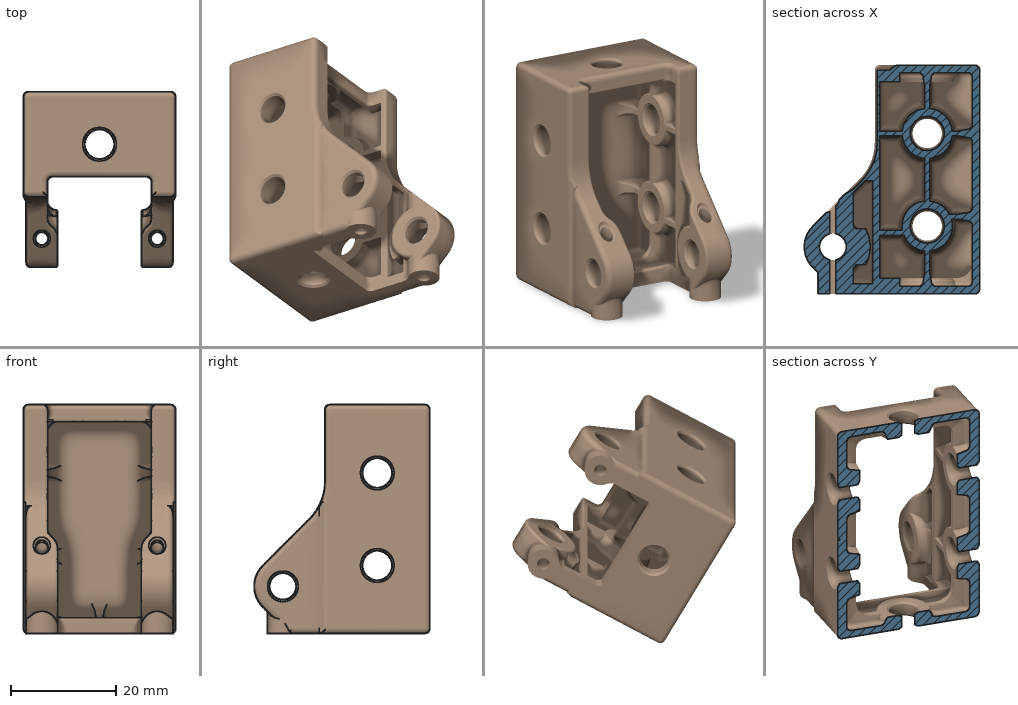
import cadquery as cq
import math


HEIGHT = 43.6
HALF_WIDTH = 29.0 / 2
BOX_DEPTH = 20.0
OUTER_ROUND = 1.0
INNER_ROUND = 0.5

SCREW_X = 11.0
SCREW_BOSS_RADIUS = 3.0
LUG_IN = SCREW_X - SCREW_BOSS_RADIUS
LUG_OUT = SCREW_X + SCREW_BOSS_RADIUS
LUG_DEPTH = 28.0
LUG_HEIGHT = 9.0
LUG_RADIUS = 5.5
BLEND_RADIUS = 10.0
STEP_START = 19.65
STEP_END = 21.1
PLATE_BACK = STEP_START - OUTER_ROUND
SCREW_BOSS_TOP = 6.55
BOSS_BLEND = 2.0
BRIDGE_ROUND = 1.65
BRIDGE_HALF_HEIGHT = 3.5

OPEN_HALF = 9.9
OPEN_BOTTOM = 3.0
OPEN_TOP = 40.35
NOTCH_DEPTH = 16.2
NOTCH_ROUND = 1.0
LIP_BACK = 15.2
LIP_ROUND = 0.4
SIDE_FLOOR = 12.5
THIN_WALL = 1.5
RIM_BACK = 19.0
FLOOR_ROUND = 0.87

LUG_POCKET_BACK = 20.45
LUG_POCKET_BOTTOM = 2.0
LUG_POCKET_TOP = 21.5
LUG_STRIP = 1.0

RIB_HALF = 1.0 / 2
RIB_BASE_HALF = 0.85
RIB_HEIGHT = SIDE_FLOOR - OPEN_HALF
RING_RADIUS = 5.0
RING_CREST = 0.2
GUSSET_RADIUS = 3.0
TOP_GUSSET_RADIUS = 2.0
BACK_RIB_HEIGHTS = (30.55, 14.75)
FRONT_RIB_HEIGHTS = (30.55, 11.7)

HOLE_DEPTH = 10.03
SIDE_HOLE_HEIGHTS = (30.55, 12.95)
MOUNT_HOLE = 5.6
PIVOT_HOLE = 5.0
SCREW_HOLE = 2.4
HOLE_CHAMFER = 0.415

BOTTOM_FLOOR = THIN_WALL
TOP_FLOOR = HEIGHT - THIN_WALL
SIN_45 = math.sqrt(0.5)
FAR = 2 * HEIGHT


def block(x, depth, z):
    """Box from three (low, high) ranges; depth counts from the back face towards -Y."""
    size = (x[1] - x[0], depth[1] - depth[0], z[1] - z[0])
    return cq.Workplane("XY").box(*size, centered=False).translate((x[0], -depth[1], z[0]))


def both_sides(solid):
    """Solid together with its mirror image about X = 0."""
    return solid.union(solid.mirror("YZ"))


SLOPE_SUM = LUG_DEPTH + LUG_HEIGHT + LUG_RADIUS / SIN_45
BLEND_DEPTH = BOX_DEPTH + BLEND_RADIUS * (1 - SIN_45)
BLEND_LOW = SLOPE_SUM - BLEND_DEPTH
BLEND_TOP = BLEND_LOW + BLEND_RADIUS * SIN_45


def side_plate(x_low, x_high):
    """Side outline of the whole part, extruded between two X positions."""
    reach = LUG_RADIUS * SIN_45
    toe = LUG_DEPTH + LUG_RADIUS / SIN_45 - LUG_HEIGHT
    half_turn = math.radians(45) / 2
    blend_mid = (
        -BOX_DEPTH - BLEND_RADIUS * (1 - math.cos(half_turn)),
        BLEND_TOP - BLEND_RADIUS * math.sin(half_turn),
    )
    return (
        cq.Workplane("YZ", origin=(x_low, 0, 0))
        .lineTo(0, HEIGHT)
        .lineTo(-BOX_DEPTH, HEIGHT)
        .lineTo(-BOX_DEPTH, BLEND_TOP)
        .threePointArc(blend_mid, (-BLEND_DEPTH, BLEND_LOW))
        .lineTo(-LUG_DEPTH - reach, LUG_HEIGHT + reach)
        .threePointArc((-LUG_DEPTH - LUG_RADIUS, LUG_HEIGHT), (-LUG_DEPTH - reach, LUG_HEIGHT - reach))
        .lineTo(-toe, 0)
        .close()
        .extrude(x_high - x_low)
    )


def box_body():
    """Full-width body that stops at an S-shaped step down to the lugs."""
    mid_x = (HALF_WIDTH + LUG_OUT) / 2
    mid_depth = (STEP_START + STEP_END) / 2
    rise = (HALF_WIDTH - LUG_OUT) / 8
    quarter = (STEP_END - STEP_START) / 4
    plan = (
        cq.Workplane("XY")
        .lineTo(HALF_WIDTH, 0)
        .lineTo(HALF_WIDTH, -STEP_START)
        .threePointArc((HALF_WIDTH - rise, -STEP_START - quarter), (mid_x, -mid_depth))
        .threePointArc((LUG_OUT + rise, -STEP_END + quarter), (LUG_OUT, -STEP_END))
        .lineTo(0, -STEP_END)
        .close()
        .extrude(HEIGHT)
    )
    full = side_plate(-HALF_WIDTH, HALF_WIDTH)
    full = full.faces("<X or >X or >Z or >Y").edges().fillet(OUTER_ROUND)
    inner = OPEN_HALF + INNER_ROUND
    return full.intersect(both_sides(plan)).cut(block((-inner, inner), (PLATE_BACK, FAR), (0, HEIGHT)))


def lug():
    """Right-hand wall plate that grows into the thick lug, rounded on both outlines."""
    thick = side_plate(LUG_IN, SIDE_FLOOR).intersect(pivot_boss().union(screw_boss_blend()))
    plate = side_plate(OPEN_HALF, LUG_OUT).union(thick)
    outer_edges = plate.faces(">X").edges().add(plate.faces(">Z").edges("<Y"))
    plate = outer_edges.fillet(OUTER_ROUND)
    slope_start = (OPEN_HALF, -BLEND_DEPTH - INNER_ROUND, BLEND_LOW - INNER_ROUND)
    plate = plate.edges(cq.selectors.NearestToPointSelector(slope_start)).fillet(INNER_ROUND)
    plate = plate.intersect(block((0, HALF_WIDTH), (PLATE_BACK, FAR), (0, HEIGHT)))
    foot = (
        cq.Workplane("XY", origin=(SCREW_X, -LUG_DEPTH, 0))
        .circle(SCREW_BOSS_RADIUS)
        .extrude(SCREW_BOSS_TOP)
    )
    return plate.union(foot)


def pivot_boss():
    """Ring around the pivot hole, joined to the wall behind it by a concave fillet."""
    center = (SIDE_FLOOR, -LUG_DEPTH, LUG_HEIGHT)
    boss = ring(center, (-1, 0, 0), LUG_RADIUS, SIDE_FLOOR - LUG_IN, INNER_ROUND)
    reach = LUG_RADIUS + BRIDGE_ROUND
    bridge = (
        cq.Workplane("YZ", origin=(OPEN_HALF - BRIDGE_ROUND, -LUG_DEPTH, LUG_HEIGHT))
        .circle(reach)
        .extrude(SIDE_FLOOR - OPEN_HALF + BRIDGE_ROUND)
    )
    groove = (
        cq.Workplane("XY", origin=(0, -LUG_DEPTH, LUG_HEIGHT))
        .moveTo(OPEN_HALF - BRIDGE_ROUND, reach)
        .circle(BRIDGE_ROUND)
        .revolve(360, (0, 0), (1, 0))
    )
    band = block(
        (0, SIDE_FLOOR),
        (LUG_DEPTH - reach, LUG_DEPTH),
        (LUG_HEIGHT - BRIDGE_HALF_HEIGHT, LUG_HEIGHT + BRIDGE_HALF_HEIGHT),
    )
    return boss.union(bridge.cut(groove).intersect(band))


def screw_boss_blend():
    """Upright round boss for the screw, blended into the wall behind it and solid ahead of it."""
    center_gap = BOSS_BLEND + SCREW_BOSS_RADIUS
    blend_x = OPEN_HALF - BOSS_BLEND
    angle = math.acos((SCREW_X - blend_x) / center_gap)
    blend_depth = LUG_DEPTH - center_gap * math.sin(angle)
    blend_mid = (
        blend_x + BOSS_BLEND * math.cos(angle / 2),
        -blend_depth - BOSS_BLEND * math.sin(angle / 2),
    )
    blend_end = (
        blend_x + BOSS_BLEND * math.cos(angle),
        -blend_depth - BOSS_BLEND * math.sin(angle),
    )
    boss_mid = (
        SCREW_X - SCREW_BOSS_RADIUS * math.cos(angle / 2),
        -LUG_DEPTH + SCREW_BOSS_RADIUS * math.sin(angle / 2),
    )
    return (
        cq.Workplane("XY")
        .moveTo(SIDE_FLOOR, -blend_depth)
        .lineTo(OPEN_HALF, -blend_depth)
        .threePointArc(blend_mid, blend_end)
        .threePointArc(boss_mid, (LUG_IN, -LUG_DEPTH))
        .lineTo(LUG_IN, -LUG_DEPTH - SCREW_BOSS_TOP)
        .lineTo(SIDE_FLOOR, -LUG_DEPTH - SCREW_BOSS_TOP)
        .close()
        .extrude(HEIGHT)
    )


def notch_limit():
    """Slab with the full-height gap between the side walls, rounded along the top of the gap."""
    gap = block((-OPEN_HALF, OPEN_HALF), (NOTCH_DEPTH, FAR), (0, HEIGHT))
    gap = gap.edges("|Z and >Y").fillet(NOTCH_ROUND)
    thick_gap = block((-LUG_IN, LUG_IN), (PLATE_BACK, FAR), (0, HEIGHT))
    side = 2 * HALF_WIDTH
    slab = block((-side, side), (-BOX_DEPTH, BOX_DEPTH), (0, HEIGHT)).cut(gap)
    slab = slab.faces(">Z").edges("not (<X or >X or <Y or >Y)").fillet(OUTER_ROUND)
    return slab.union(block((-side, side), (BOX_DEPTH, FAR), (0, BLEND_TOP)).cut(thick_gap))


def rib_section(plane, height):
    """Drafted rib section with a fillet foot; local y points away from the floor."""
    foot = RIB_BASE_HALF + FLOOR_ROUND
    bend = FLOOR_ROUND * (1 - SIN_45)
    shoulder = max(height, RIB_HEIGHT + FLOOR_ROUND)
    return (
        cq.Workplane(plane)
        .moveTo(-foot, 0)
        .lineTo(foot, 0)
        .threePointArc((RIB_BASE_HALF + bend, bend), (RIB_BASE_HALF, FLOOR_ROUND))
        .lineTo(RIB_HALF, RIB_HEIGHT)
        .lineTo(RIB_HALF, shoulder)
        .lineTo(-RIB_HALF, shoulder)
        .lineTo(-RIB_HALF, RIB_HEIGHT)
        .lineTo(-RIB_BASE_HALF, FLOOR_ROUND)
        .threePointArc((-RIB_BASE_HALF - bend, bend), (-foot, 0))
        .close()
    )


def rib(start, along, up, length, height):
    """Rib on a floor: starts at a point, runs along one direction, rises along another."""
    along = cq.Vector(*along)
    up = cq.Vector(*up)
    plane = cq.Plane(origin=start, xDir=up.cross(along), normal=along)
    solid = rib_section(plane, height).extrude(length)
    center = cq.Vector(*start) + along * (length / 2) + up * (height / 2)
    foot_width = 2 * (RIB_BASE_HALF + FLOOR_ROUND)
    limit = cq.Workplane(cq.Plane(origin=center, xDir=along, normal=up)).box(length, 2 * foot_width, height)
    return solid.intersect(limit)


def gusset(corner, a, b, level_a, level_b, radius):
    """Rib across the corner of two floors: a and b are the floors' outward directions.

    level_a and level_b are the rib heights above each floor; a concave arc joins them.
    """
    vec_a = cq.Vector(*a)
    vec_b = cq.Vector(*b)
    reach_a = level_a + radius
    reach_b = level_b + radius
    plane = cq.Plane(origin=corner, xDir=a, normal=vec_a.cross(vec_b))
    half_thickness = RIB_BASE_HALF + FLOOR_ROUND
    outline = cq.Workplane(plane).rect(reach_a, reach_b, centered=False).extrude(half_thickness, both=True)
    hollow = cq.Workplane(plane).center(reach_a, reach_b).circle(radius).extrude(half_thickness, both=True)
    webs = rib(corner, b, a, reach_b, reach_a).union(rib(corner, a, b, reach_a, reach_b))
    return webs.intersect(outline.cut(hollow))


def ring(center, up, radius, height, crest):
    """Round boss with a drafted flank, a fillet foot and a rounded crest."""
    up = cq.Vector(*up)
    side = cq.Vector(0, 1, 0)
    draft = RIB_BASE_HALF - RIB_HALF
    crest_bend = crest * (1 - SIN_45)
    bend = FLOOR_ROUND * (1 - SIN_45)
    plane = cq.Plane(origin=center, xDir=side, normal=side.cross(up))
    return (
        cq.Workplane(plane)
        .lineTo(radius + draft + FLOOR_ROUND, 0)
        .threePointArc((radius + draft + bend, bend), (radius + draft, FLOOR_ROUND))
        .lineTo(radius, height - crest)
        .threePointArc((radius - crest_bend, height - crest_bend), (radius - crest, height))
        .lineTo(0, height)
        .close()
        .revolve(360, (0, 0), (0, 1))
    )


def side_wall_ribs():
    """Rings, ribs and gussets on the right-hand wall."""
    inward = (-1, 0, 0)
    low = (SIDE_FLOOR, -HOLE_DEPTH, BOTTOM_FLOOR)
    high = (SIDE_FLOOR, -HOLE_DEPTH, TOP_FLOOR)
    ribs = rib(low, (0, 0, 1), inward, TOP_FLOOR - BOTTOM_FLOOR, RIB_HEIGHT)
    for z in SIDE_HOLE_HEIGHTS:
        ribs = ribs.union(ring((SIDE_FLOOR, -HOLE_DEPTH, z), inward, RING_RADIUS, RIB_HEIGHT, RING_CREST))
    for z in FRONT_RIB_HEIGHTS:
        start = (SIDE_FLOOR, -HOLE_DEPTH, z)
        ribs = ribs.union(rib(start, (0, -1, 0), inward, RIM_BACK - HOLE_DEPTH, RIB_HEIGHT))
    for z in BACK_RIB_HEIGHTS:
        corner = (SIDE_FLOOR, -THIN_WALL, z)
        ribs = ribs.union(rib(corner, (0, -1, 0), inward, HOLE_DEPTH - THIN_WALL, RIB_HEIGHT))
        ribs = ribs.union(gusset(corner, inward, (0, -1, 0), RIB_HEIGHT, 0, GUSSET_RADIUS))
    ribs = ribs.union(gusset(low, inward, (0, 0, 1), RIB_HEIGHT, OPEN_BOTTOM - BOTTOM_FLOOR, GUSSET_RADIUS))
    return ribs.union(gusset(high, inward, (0, 0, -1), RIB_HEIGHT, TOP_FLOOR - OPEN_TOP, TOP_GUSSET_RADIUS))


def end_wall_ribs():
    """Rings and ribs on the top and bottom walls, and the gusset on the back wall."""
    bottom_height = OPEN_BOTTOM - BOTTOM_FLOOR
    top_height = TOP_FLOOR - OPEN_TOP
    up = (0, 0, 1)
    corner = (0, -THIN_WALL, BOTTOM_FLOOR)
    ribs = rib(corner, (0, -1, 0), up, HOLE_DEPTH - THIN_WALL, bottom_height)
    ribs = ribs.union(gusset(corner, (0, -1, 0), up, 0, bottom_height, GUSSET_RADIUS))
    for z, rise, height in ((BOTTOM_FLOOR, up, bottom_height), (TOP_FLOOR, (0, 0, -1), top_height)):
        cross_rib = rib((-SIDE_FLOOR, -HOLE_DEPTH, z), (1, 0, 0), rise, 2 * SIDE_FLOOR, height)
        ribs = ribs.union(cross_rib).union(ring((0, -HOLE_DEPTH, z), rise, RING_RADIUS, height, RING_CREST))
    return ribs


def cavity():
    """Main cavity, open at the front, with the ribs left standing."""
    wide = (-SIDE_FLOOR, SIDE_FLOOR)
    space = block(wide, (THIN_WALL, RIM_BACK), (BOTTOM_FLOOR, TOP_FLOOR)).edges().fillet(FLOOR_ROUND)
    for z_range in ((0, OPEN_BOTTOM), (OPEN_TOP, HEIGHT)):
        space = space.cut(block(wide, (LIP_BACK, RIM_BACK), z_range))
    space = space.cut(both_sides(side_wall_ribs()), clean=False)
    return space.cut(end_wall_ribs(), clean=False)


def lip_rounding():
    """Rounds the front edges of the top and bottom lips of the opening."""
    low = OPEN_BOTTOM - LIP_ROUND
    high = OPEN_TOP + LIP_ROUND
    tool = block((-OPEN_HALF, OPEN_HALF), (NOTCH_DEPTH - LIP_ROUND, NOTCH_DEPTH), (low, high))
    for z in (low, high):
        center = (-OPEN_HALF, -NOTCH_DEPTH + LIP_ROUND, z)
        tool = tool.cut(cq.Workplane("YZ", origin=center).circle(LIP_ROUND).extrude(2 * OPEN_HALF))
    return tool


def lug_pocket():
    """Right-hand pocket between the box and the lug."""
    slope_sum = SLOPE_SUM - LUG_STRIP / SIN_45
    pocket = (
        cq.Workplane("YZ", origin=(OPEN_HALF, 0, 0))
        .moveTo(-LUG_POCKET_BACK, LUG_POCKET_BOTTOM)
        .lineTo(-LUG_POCKET_BACK, LUG_POCKET_TOP)
        .lineTo(-slope_sum + LUG_POCKET_TOP, LUG_POCKET_TOP)
        .lineTo(-LUG_DEPTH, slope_sum - LUG_DEPTH)
        .lineTo(-LUG_DEPTH, LUG_POCKET_BOTTOM)
        .close()
        .extrude(SIDE_FLOOR - OPEN_HALF)
    )
    pocket = pocket.faces(">X").edges().fillet(FLOOR_ROUND)
    return pocket.cut(pivot_boss()).cut(screw_boss_blend())


def drill(diameter, start, direction, length):
    """Hole with a chamfer at both ends."""
    radius = diameter / 2
    flare = HOLE_CHAMFER
    axis = cq.Vector(*direction)
    side = cq.Vector(0, 1, 0)
    return (
        cq.Workplane(cq.Plane(origin=start, xDir=side, normal=side.cross(axis)))
        .lineTo(radius + flare, 0)
        .lineTo(radius, flare)
        .lineTo(radius, length - flare)
        .lineTo(radius + flare, length)
        .lineTo(0, length)
        .close()
        .revolve(360, (0, 0), (0, 1))
    )


def side_holes():
    """Mounting and pivot holes across the walls, and the upright screw holes with a flared top."""
    holes = drill(PIVOT_HOLE, (LUG_IN, -LUG_DEPTH, LUG_HEIGHT), (1, 0, 0), LUG_OUT - LUG_IN)
    for z in SIDE_HOLE_HEIGHTS:
        start = (OPEN_HALF, -HOLE_DEPTH, z)
        holes = holes.union(drill(MOUNT_HOLE, start, (1, 0, 0), HALF_WIDTH - OPEN_HALF))
    screw_top = SLOPE_SUM - LUG_DEPTH
    screw = cq.Workplane("XY", origin=(SCREW_X, -LUG_DEPTH, 0)).circle(SCREW_HOLE / 2).extrude(HEIGHT)
    sink = (
        cq.Workplane(cq.Plane(origin=(SCREW_X, -LUG_DEPTH, screw_top), xDir=(1, 0, 0), normal=(0, -1, 1)))
        .ellipse(SCREW_HOLE / 2 + HOLE_CHAMFER, (SCREW_HOLE / 2 + HOLE_CHAMFER) / SIN_45)
        .extrude(-HOLE_CHAMFER, taper=45)
    )
    return both_sides(holes.union(screw).union(sink))


def end_holes():
    """Mounting holes through the bottom and top walls."""
    bottom = drill(MOUNT_HOLE, (0, -HOLE_DEPTH, 0), (0, 0, 1), OPEN_BOTTOM)
    return bottom.union(drill(MOUNT_HOLE, (0, -HOLE_DEPTH, OPEN_TOP), (0, 0, 1), HEIGHT - OPEN_TOP))


body = box_body().union(both_sides(lug())).intersect(notch_limit())
body = body.cut(lip_rounding()).cut(cavity(), clean=False).cut(both_sides(lug_pocket()), clean=False)
result = body.cut(side_holes(), clean=False).cut(end_holes(), clean=False)